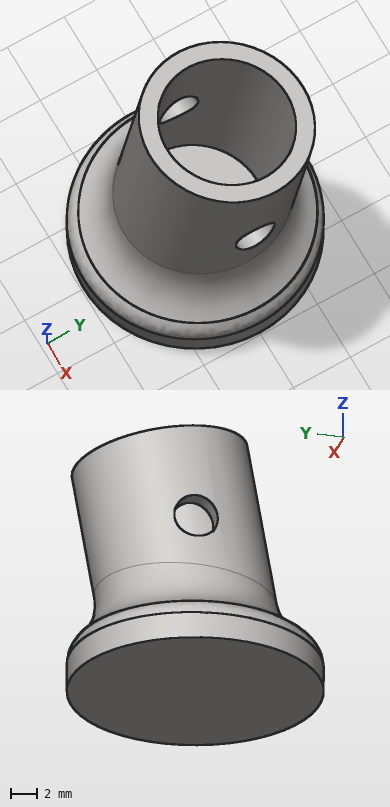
import cadquery as cq
import math

tilt = 10.0
base_radius = 19.6 / 2
tube_radius = 13.6 / 2
bore_radius = 10.67 / 2
cross_hole_diameter = 3.4
total_height = 20.13
pivot_height = 3.12
bore_depth = 15.0
cross_hole_height = 11.55

flare_radius = 5.0
flare_top_back = 7.93
flare_top_front = 6.95
shoulder_top = 3.36
shoulder_reach_back = 9.38
shoulder_reach_front = 8.9
shoulder_start_back = 2.21
shoulder_start_front = 1.93
sections_per_band = 6

lean = math.radians(tilt)
rim_center_height = total_height - tube_radius * math.sin(lean)
tube_length = (rim_center_height - pivot_height) / math.cos(lean)
tube_start = (flare_top_front - pivot_height) / 2


def axis_y(height):
    """Y position of the tube axis at a height."""
    return (height - pivot_height) * math.tan(lean)


def tube_wall_y(height, side):
    """Y of the tube wall at a height; side is +1 for back, -1 for front."""
    return axis_y(height) + side * tube_radius / math.cos(lean)


def shoulder_point(start_height, reach, side, fraction):
    """Point on a convex arc rising tangent from the base wall to the shoulder top."""
    inset = base_radius - reach
    rise = shoulder_top - start_height
    radius = (inset**2 + rise**2) / (2 * inset)
    angle = fraction * math.asin(rise / radius)
    y = side * (base_radius - radius * (1 - math.cos(angle)))
    return y, start_height + radius * math.sin(angle)


def flare_point(top_height, reach, side, fraction):
    """Point on a concave arc from the shoulder top to tangency with the tube wall."""
    outward = side * tube_wall_y(top_height, side)
    center_out = outward + flare_radius * math.cos(lean)
    center_z = top_height - side * flare_radius * math.sin(lean)
    start = math.atan2(center_z - shoulder_top, center_out - reach)
    end = -side * lean
    angle = start + fraction * (end - start)
    y = side * (center_out - flare_radius * math.cos(angle))
    return y, center_z - flare_radius * math.sin(angle)


def cross_section(back, front, width_ratio):
    """Closed elliptical wire spanning a back and a front (y, z) point."""
    dy = back[0] - front[0]
    dz = back[1] - front[1]
    half_chord = math.hypot(dy, dz) / 2
    center = (0, (back[0] + front[0]) / 2, (back[1] + front[1]) / 2)
    plane = cq.Plane(origin=center, xDir=(0, dy, dz), normal=(0, -dz, dy))
    outline = cq.Workplane(plane).ellipse(half_chord, half_chord * width_ratio)
    return outline.wires().val()


def shoulder_section(fraction):
    back = shoulder_point(shoulder_start_back, shoulder_reach_back, 1, fraction)
    front = shoulder_point(shoulder_start_front, shoulder_reach_front, -1, fraction)
    return cross_section(back, front, 1.0)


def flare_section(fraction):
    back = flare_point(flare_top_back, shoulder_reach_back, 1, fraction)
    front = flare_point(flare_top_front, shoulder_reach_front, -1, fraction)
    top_chord = math.hypot(
        tube_wall_y(flare_top_back, 1) - tube_wall_y(flare_top_front, -1),
        flare_top_back - flare_top_front,
    )
    top_ratio = 2 * tube_radius / top_chord
    return cross_section(back, front, 1 + fraction * (top_ratio - 1))


def band(section):
    """Solid lofted through evenly spaced sections."""
    fractions = [i / (sections_per_band - 1) for i in range(sections_per_band)]
    return cq.Workplane(cq.Solid.makeLoft([section(f) for f in fractions]))


def base_disc():
    """Base cylinder cut off by the slightly tilted plane where the shoulder starts."""
    profile = [
        (-base_radius, 0),
        (base_radius, 0),
        (base_radius, shoulder_start_back),
        (-base_radius, shoulder_start_front),
    ]
    envelope = cq.Workplane("YZ").polyline(profile).close().extrude(base_radius, both=True)
    return cq.Workplane("XY").circle(base_radius).extrude(shoulder_start_back).intersect(envelope)


def tube_cylinder(radius, start, length):
    """Cylinder on the tube axis, start being measured from the pivot."""
    direction = cq.Vector(0, math.sin(lean), math.cos(lean))
    origin = cq.Vector(0, 0, pivot_height) + direction * start
    return cq.Workplane(cq.Solid.makeCylinder(radius, length, origin, direction))


foot = base_disc().union(band(shoulder_section)).union(band(flare_section))
tube = tube_cylinder(tube_radius, tube_start, tube_length - tube_start)
bore = tube_cylinder(bore_radius, tube_length - bore_depth, bore_depth)
cross_hole = (
    cq.Workplane("YZ")
    .center(axis_y(cross_hole_height), cross_hole_height)
    .circle(cross_hole_diameter / 2)
    .extrude(base_radius, both=True)
)

result = foot.union(tube).cut(bore).cut(cross_hole)